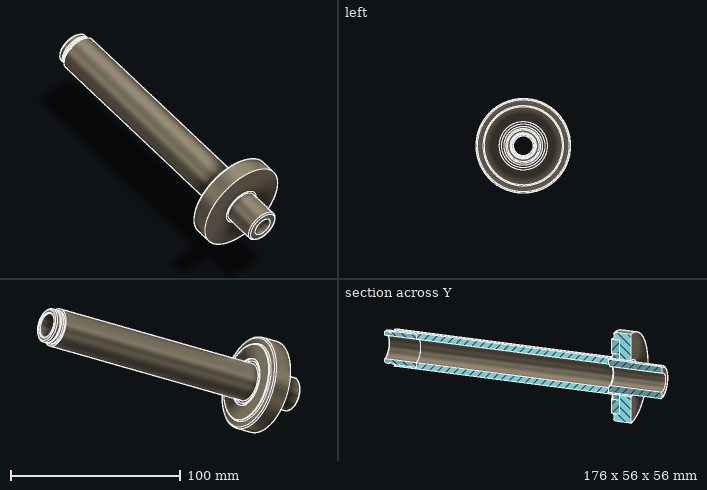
import cadquery as cq

AXIS_START = (0, 0)
AXIS_END = (1, 0)

LENGTH = 176.0

TUBE_RADIUS = 11.5
TUBE_FRONT = 6.2
BORE_RADIUS = 7.2
SOCKET_RADIUS = 10.2
SOCKET_DEPTH = 14.0

FLANGE_RADIUS = 28.0
FLANGE_FRONT = 145.2
FLANGE_BACK = 156.3
FLANGE_EDGE_CHAMFER = 0.9
LIP_HEIGHT = 0.7
LIP_BASE_RADIUS = 23.8
PLATE_RADIUS = 23.0
PLATE_FRONT = 143.8
PLATE_BACK = 148.7
SEAL_RADIUS = 14.3
SEAL_COLLAR_RADIUS = 12.8
SEAL_RECESS = 0.9
SEAL_COLLAR_HEIGHT = 0.5

END_CHAMFER = 0.9
MOUTH_CHAMFER = 0.5
GROOVE_START = 3.2
GROOVE_FLOOR_END = 4.0
GROOVE_END = 5.1
GROOVE_FLOOR_RADIUS = 9.7
NIPPLE_BORE_RADIUS = 5.8
NIPPLE_BORE_CHAMFER = 0.9

tube_socket_floor = TUBE_FRONT + SOCKET_DEPTH
nipple_start = FLANGE_BACK - SOCKET_DEPTH
end_face_radius = SOCKET_RADIUS - END_CHAMFER


def turned(profile):
    """Revolve a closed (station, radius) outline about the X axis."""
    return cq.Workplane("XY").polyline(profile).close().revolve(360, AXIS_START, AXIS_END)


def make_tube():
    return turned([
        (TUBE_FRONT, SOCKET_RADIUS),
        (TUBE_FRONT, TUBE_RADIUS),
        (FLANGE_BACK, TUBE_RADIUS),
        (FLANGE_BACK, SOCKET_RADIUS),
        (nipple_start, SOCKET_RADIUS),
        (nipple_start, BORE_RADIUS),
        (tube_socket_floor, BORE_RADIUS),
        (tube_socket_floor, SOCKET_RADIUS),
    ])


def make_front_insert():
    """Chamfered spigot with a groove whose rear wall is sloped."""
    return turned([
        (0, BORE_RADIUS + MOUTH_CHAMFER),
        (0, end_face_radius),
        (END_CHAMFER, SOCKET_RADIUS),
        (GROOVE_START, SOCKET_RADIUS),
        (GROOVE_START, GROOVE_FLOOR_RADIUS),
        (GROOVE_FLOOR_END, GROOVE_FLOOR_RADIUS),
        (GROOVE_END, SOCKET_RADIUS),
        (tube_socket_floor, SOCKET_RADIUS),
        (tube_socket_floor, BORE_RADIUS),
        (MOUTH_CHAMFER, BORE_RADIUS),
    ])


def make_nipple():
    return turned([
        (nipple_start, NIPPLE_BORE_RADIUS + NIPPLE_BORE_CHAMFER),
        (nipple_start, SOCKET_RADIUS),
        (LENGTH - END_CHAMFER, SOCKET_RADIUS),
        (LENGTH, end_face_radius),
        (LENGTH, NIPPLE_BORE_RADIUS),
        (nipple_start + NIPPLE_BORE_CHAMFER, NIPPLE_BORE_RADIUS),
    ])


def make_escutcheon():
    """Outer disc with a tapered lip around the recess for the plate."""
    return turned([
        (FLANGE_FRONT - LIP_HEIGHT, PLATE_RADIUS),
        (FLANGE_FRONT, LIP_BASE_RADIUS),
        (FLANGE_FRONT, FLANGE_RADIUS - FLANGE_EDGE_CHAMFER),
        (FLANGE_FRONT + FLANGE_EDGE_CHAMFER, FLANGE_RADIUS),
        (FLANGE_BACK, FLANGE_RADIUS),
        (FLANGE_BACK, TUBE_RADIUS),
        (PLATE_BACK, TUBE_RADIUS),
        (PLATE_BACK, PLATE_RADIUS),
    ])


def make_plate():
    return turned([
        (PLATE_FRONT, SEAL_RADIUS),
        (PLATE_FRONT, PLATE_RADIUS),
        (PLATE_BACK, PLATE_RADIUS),
        (PLATE_BACK, SEAL_RADIUS),
    ])


def make_seal():
    """Ring filling the plate bore around the tube, recessed, with a low collar."""
    seal_front = PLATE_FRONT + SEAL_RECESS
    collar_front = seal_front - SEAL_COLLAR_HEIGHT
    return turned([
        (collar_front, TUBE_RADIUS),
        (collar_front, SEAL_COLLAR_RADIUS),
        (seal_front, SEAL_COLLAR_RADIUS),
        (seal_front, SEAL_RADIUS),
        (PLATE_BACK, SEAL_RADIUS),
        (PLATE_BACK, TUBE_RADIUS),
    ])


tube = make_tube()
front_insert = make_front_insert()
nipple = make_nipple()
escutcheon = make_escutcheon()
plate = make_plate()
seal = make_seal()

result = cq.Compound.makeCompound([
    tube.val(),
    front_insert.val(),
    nipple.val(),
    escutcheon.val(),
    plate.val(),
    seal.val(),
])